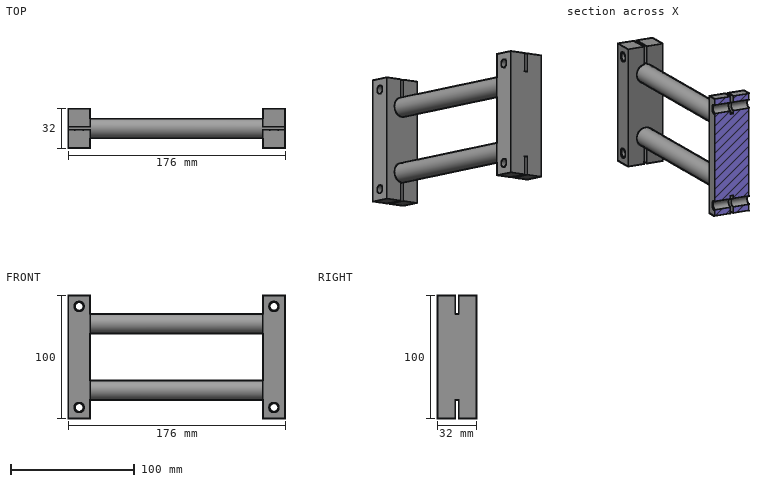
import cadquery as cq

FRAME_LENGTH = 176.0
BLOCK_WIDTH = 18.0
BLOCK_DEPTH = 32.0
BLOCK_HEIGHT = 100.0

ROD_DIAMETER = 16.0
ROD_SPACING = 54.0

SLOT_WIDTH = 2.5

SCREW_HOLE_DIAMETER = 6.8
SCREW_HOLE_SPACING = 82.0
SCREW_CHAMFER = 0.6

BLOCK_CENTER_X = (FRAME_LENGTH - BLOCK_WIDTH) / 2
ROD_Z = ROD_SPACING / 2
SCREW_Z = SCREW_HOLE_SPACING / 2
SLOT_DEPTH = BLOCK_HEIGHT / 2 - ROD_Z
SIDES = (-1, 1)


def clamp_slot(side):
    """Slot from the rod axis to the top (+1) or bottom (-1) of a block."""
    center_z = side * (ROD_Z + SLOT_DEPTH / 2)
    return cq.Workplane("XY").box(BLOCK_WIDTH, SLOT_WIDTH, SLOT_DEPTH).translate((0, 0, center_z))


def screw_hole(side):
    """Through hole along Y, chamfered where it opens on the -Y face."""
    hole_radius = SCREW_HOLE_DIAMETER / 2
    mouth_radius = hole_radius + SCREW_CHAMFER
    front_y = -BLOCK_DEPTH / 2
    back_y = BLOCK_DEPTH / 2
    profile = [
        (0, front_y),
        (mouth_radius, front_y),
        (hole_radius, front_y + SCREW_CHAMFER),
        (hole_radius, back_y),
        (0, back_y),
    ]
    hole = cq.Workplane("XY").polyline(profile).close().revolve(360, (0, 0, 0), (0, 1, 0))
    return hole.translate((0, 0, side * SCREW_Z))


def end_block():
    """Clamp block centred on the origin, with a slot and a screw hole at each end."""
    block = cq.Workplane("XY").box(BLOCK_WIDTH, BLOCK_DEPTH, BLOCK_HEIGHT)
    for side in SIDES:
        block = block.cut(clamp_slot(side)).cut(screw_hole(side))
    return block


def rod(side):
    """Rod along X, flush with the outer faces of both blocks."""
    bar = cq.Workplane("YZ").circle(ROD_DIAMETER / 2).extrude(FRAME_LENGTH)
    return bar.translate((-FRAME_LENGTH / 2, 0, side * ROD_Z))


def frame():
    """Two end blocks joined by two parallel rods."""
    block = end_block()
    body = block.translate((-BLOCK_CENTER_X, 0, 0)).union(block.translate((BLOCK_CENTER_X, 0, 0)))
    for side in SIDES:
        body = body.union(rod(side))
    return body.clean()


result = frame()